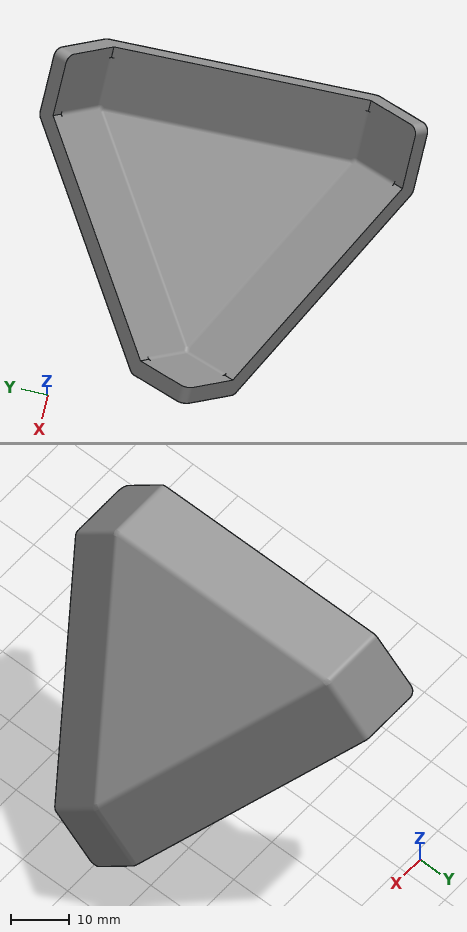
import cadquery as cq
import math

cube_size = 46.0
flap_width = 12.6
wall = 3.0
outer_fillet = 1.5
inner_fillet = 1.0
flap_corner_radius = 1.5
plain_rim = 2.0

edge_cut = cube_size - flap_width
reach = 3 * cube_size
rim_tolerance = 0.001

EDGE_CUTS = [(1, 1, 0), (1, 0, 1), (0, 1, 1)]
TIP_CUT = (1, 1, 1)


def corner_cube(size, inset=0.0):
    """Cube from -size to -inset along every axis."""
    side = size - inset
    return cq.Workplane("XY").box(side, side, side, centered=False).translate((-size, -size, -size))


def cut_flat(body, normal, depth):
    """Remove everything beyond a plane that lies `depth` below the origin along `normal`."""
    direction = cq.Vector(*normal).normalized()
    plane = cq.Plane(origin=(direction * -depth).toTuple(), normal=direction.toTuple())
    return body.cut(cq.Workplane(plane).rect(reach, reach).extrude(reach))


def faceted_corner(size, inset=0.0):
    """Corner cube with flat edge and tip cuts, all faces moved inwards by `inset`."""
    body = corner_cube(size, inset)
    for normal in EDGE_CUTS:
        body = cut_flat(body, normal, edge_cut / math.sqrt(2) + inset)
    return cut_flat(body, TIP_CUT, 2 * edge_cut / math.sqrt(3) + inset)


def round_bends(body, size, radius):
    """Fillet the edges between the outward faces, leaving the rim edges sharp."""
    bends = body.edges().filter(lambda edge: min(edge.Center().toTuple()) > -size + rim_tolerance)
    return bends.fillet(radius)


def make_shell():
    """Rounded corner hollowed to the wall thickness, with sharp inside bends along the rim."""
    outside = round_bends(faceted_corner(cube_size), cube_size, outer_fillet)
    rounded_depth = cube_size - plain_rim
    rounded_cavity = round_bends(faceted_corner(rounded_depth, wall), rounded_depth, inner_fillet)
    rim_cavity = faceted_corner(cube_size + wall, wall).cut(corner_cube(rounded_depth))
    return outside.cut(rim_cavity).cut(rounded_cavity)


def round_flap_corners(shell):
    """Round the free corner of each square flap, through the wall."""
    for across, first, second in ("XYZ", "YZX", "ZXY"):
        corner = f"|{across} and <{first} and <{second}"
        shell = shell.edges(corner).fillet(flap_corner_radius)
    return shell


def stand_upright(shell):
    """Turn the cube frame about X so that the cut between two flaps faces straight up."""
    cube_frame = cq.Plane(origin=(0, 0, 0), xDir=(1, 0, 0), normal=(0, -1, 1))
    return cq.Workplane(shell.val().moved(cq.Location(cube_frame)))


result = stand_upright(round_flap_corners(make_shell()))